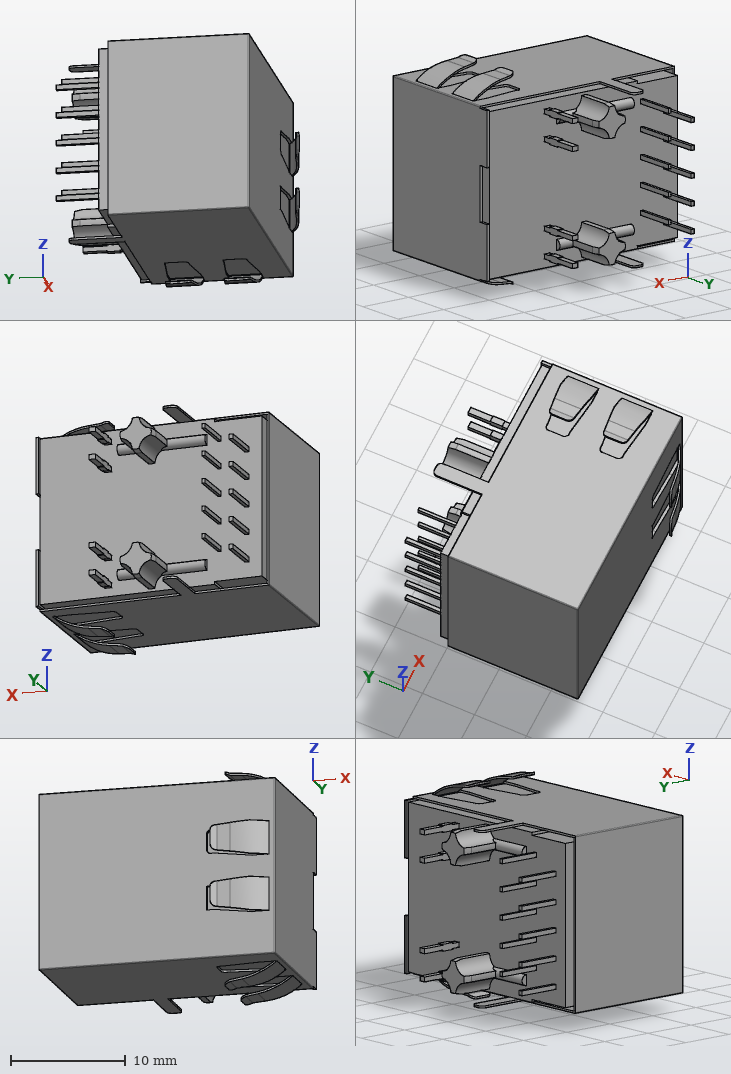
import cadquery as cq

shield_length = 21.35
shield_depth = 12.51
shield_width = 15.85
wall = 0.2
lid_wall = 0.3
front_wall = 0.28
bend_radius = 0.09
pin_tip_y = 17.35

peg_x = 7.55
peg_width = 1.32
peg_tip_y = 17.3
peg_corner_radius = 0.47
lip_tip_y = 13.5
lip_inner_z = 2.56

spring_root_x = 20.8
spring_wide_x = 19.25
spring_tip_x = 15.88
window_start_x = 15.15
spring_kink_x, spring_kink_drop = 16.46, 0.23
spring_arc_x, spring_arc_drop = 17.6, 0.36
spring_root_half = 1.5
spring_tip_half = 1.07
spring_corner_radius = 0.5
window_corner_radius = 0.4
side_spring_rise = 1.7
lid_spring_rise = 1.52
side_spring_ys = (4.1, 9.29)
lid_spring_z = 2.55

housing_start_x = 0.35
housing_end_x = 20.99
housing_step_x = 4.75
housing_bottom_y = lid_wall
housing_top_y = 13.39
housing_half_width = 7.58
rear_half_width = 7.32

post_x = 10.6
post_z = 5.72
post_radius = 1.6
post_web = 0.6
post_taper = 0.15
post_taper_length = 0.73
rib_start_x = 5.47
rib_end_x = 13.65
rib_top_y = 13.88

pin_pitch = 1.25
pins_per_row = 5
pin_width = 0.43
foot_overlap = 0.2
outer_row_x, outer_row_thickness = 1.73, 0.36
inner_row_x, inner_row_thickness = 4.27, 0.28

lead_x = 14.65
lead_thickness = 0.6
lead_width = 0.45
lead_inner_z = 4.04
lead_pitch = 2 * pin_pitch
lead_seat_depth = 1.28
lead_bump_start_y = 14.07
lead_bump_end_y = 15.22
lead_bump_height = 0.09


def block(x0, x1, y0, y1, z0, z1):
    """Box between opposite corners."""
    return cq.Workplane("XY").box(x1 - x0, y1 - y0, z1 - z0, centered=False).translate((x0, y0, z0))


def upright(x, z, thickness, width, y0, y1):
    """Rectangular bar along Y, centred on (x, z)."""
    return block(x - thickness / 2, x + thickness / 2, y0, y1, z - width / 2, z + width / 2)


def tongue_prism(start_x, corner_radius, bottom, top):
    """Tapered tongue outline, extruded outwards (+Z) between two heights."""
    upper_side = [
        (spring_tip_x, spring_tip_half),
        (spring_wide_x, spring_root_half),
        (spring_root_x, spring_root_half),
    ]
    if start_x < spring_tip_x:
        upper_side.insert(0, (start_x, spring_tip_half))
    lower_side = [(x, -y) for x, y in upper_side]
    outline = lower_side + upper_side[::-1]
    prism = cq.Workplane("XY").workplane(offset=bottom).polyline(outline).close().extrude(top - bottom)
    if corner_radius > 0:
        prism = prism.edges("|Z and <X").fillet(corner_radius)
    return prism


def spring(rise):
    """Contact spring on a wall whose outer face is Z = 0; `rise` is the height of its tip."""
    tip = (spring_tip_x, rise)
    kink = (spring_kink_x, rise - spring_kink_drop)
    arc_start = (spring_arc_x, rise - spring_arc_drop)
    root = (spring_root_x, 0)

    def below_edge(drop):
        """Region below the outer edge of the spring when that edge is lowered by `drop`."""
        return (
            cq.Workplane("XZ")
            .moveTo(tip[0], -2 * wall)
            .lineTo(*tip)
            .lineTo(*kink)
            .lineTo(*arc_start)
            .tangentArcPoint(root, relative=False)
            .lineTo(root[0], -2 * wall)
            .close()
            .extrude(spring_root_half, both=True)
            .translate((0, 0, -drop))
        )

    strip = below_edge(0).cut(below_edge(wall))
    return strip.intersect(tongue_prism(spring_tip_x, spring_corner_radius, -2 * wall, rise + wall))


def window(corner_radius):
    """Opening around a spring, deep enough for the thickest wall."""
    return tongue_prism(window_start_x, corner_radius, -lid_wall, wall)


def on_side_wall(shape, y, side):
    """Move a shape from the Z = 0 wall to the side wall at +Z (side 1) or -Z (side -1)."""
    moved = shape.translate((0, y, shield_width / 2))
    return moved if side > 0 else moved.mirror("XY")


def on_lid(shape, z):
    """Move a shape from the Z = 0 wall to the lid, which faces -Y."""
    return shape.rotate((0, 0, 0), (1, 0, 0), 90).translate((0, 0, z))


def shield_peg(side):
    """Board peg that continues a side wall."""
    peg = block(
        peg_x - peg_width / 2, peg_x + peg_width / 2,
        shield_depth - wall, peg_tip_y,
        shield_width / 2 - wall, shield_width / 2,
    )
    peg = peg.edges("|Z and >Y").fillet(peg_corner_radius)
    return peg if side > 0 else peg.mirror("XY")


def front_lip(side):
    """Low strip that continues the front plate towards the board."""
    lip = block(
        shield_length - front_wall, shield_length,
        shield_depth - wall, lip_tip_y,
        lip_inner_z, shield_width / 2 - wall,
    )
    return lip if side > 0 else lip.mirror("XY")


def build_shield():
    """Sheet box open towards the board, with springs, pegs and lips."""
    half = shield_width / 2
    shell = block(0, shield_length, 0, shield_depth, -half, half)
    shell = shell.faces("<X or >X or <Y").edges("not >Y").fillet(bend_radius)
    shell = shell.cut(
        block(wall, shield_length - front_wall, lid_wall, shield_depth, wall - half, half - wall)
    )
    rounded_window = window(window_corner_radius)
    side_spring = spring(side_spring_rise)
    for side in (1, -1):
        for y in side_spring_ys:
            shell = shell.cut(on_side_wall(rounded_window, y, side))
            shell = shell.union(on_side_wall(side_spring, y, side))
        shell = shell.union(shield_peg(side)).union(front_lip(side))

    for z, corner_radius in ((lid_spring_z, window_corner_radius), (-lid_spring_z, 0)):
        shell = shell.cut(on_lid(window(corner_radius), z))
        shell = shell.union(on_lid(spring(lid_spring_rise), z))
    return shell


def lead_positions():
    """Z of the four leads: an inner and an outer one on each side."""
    return [side * z for side in (1, -1) for z in (lead_inner_z, lead_inner_z + lead_pitch)]


def lead_shank(z):
    """Straight part of a lead, which also shapes its hole in the housing."""
    return upright(lead_x, z, lead_thickness, lead_width, housing_top_y - lead_seat_depth, pin_tip_y)


def indicator_lead(z):
    """Straight lead with a slightly wider stretch above the housing."""
    bump_width = lead_width + 2 * lead_bump_height
    bump = upright(lead_x, z, lead_thickness, bump_width, lead_bump_start_y, lead_bump_end_y)
    return lead_shank(z).union(bump)


def locating_post(z):
    """Round post with a tapered tip and four concave flutes that leave a cross."""
    shoulder_y = pin_tip_y - post_taper_length
    post = (
        cq.Workplane("XY")
        .moveTo(0, housing_top_y - foot_overlap)
        .lineTo(post_radius, housing_top_y - foot_overlap)
        .lineTo(post_radius, shoulder_y)
        .lineTo(post_radius - post_taper, pin_tip_y)
        .lineTo(0, pin_tip_y)
        .close()
        .revolve(360, (0, 0, 0), (0, 1, 0))
    )
    flute_radius = post_radius - post_web / 2
    corners = [(sx * post_radius, sz * post_radius) for sx in (1, -1) for sz in (1, -1)]
    flutes = (
        cq.Workplane("XZ", origin=(0, housing_top_y, 0))
        .pushPoints(corners)
        .circle(flute_radius)
        .extrude(housing_top_y - pin_tip_y)
    )
    return post.cut(flutes).translate((post_x, 0, z))


def post_rib(z):
    """Half-round rib that crosses the foot of a post; its lower half lies inside the housing."""
    radius = rib_top_y - housing_top_y
    return (
        cq.Workplane("YZ", origin=(rib_start_x, housing_top_y, z))
        .circle(radius)
        .extrude(rib_end_x - rib_start_x)
    )


def signal_pins():
    """Two rows of pins, staggered by one pitch."""
    row_offset = pin_pitch / 2
    rows = ((outer_row_x, outer_row_thickness, -row_offset), (inner_row_x, inner_row_thickness, row_offset))
    pins = []
    for x, thickness, shift in rows:
        for index in range(pins_per_row):
            z = shift + 2 * pin_pitch * (index - (pins_per_row - 1) / 2)
            pins.append(upright(x, z, thickness, pin_width, housing_top_y - foot_overlap, pin_tip_y))
    return pins


def build_housing():
    """Stepped block with posts, ribs, signal pins and the holes for the leads."""
    housing = block(
        housing_step_x, housing_end_x,
        housing_bottom_y, housing_top_y,
        -housing_half_width, housing_half_width,
    )
    rear_block = block(
        housing_start_x, housing_step_x,
        housing_bottom_y, housing_top_y,
        -rear_half_width, rear_half_width,
    )
    housing = housing.union(rear_block)
    for z in (post_z, -post_z):
        housing = housing.union(locating_post(z)).union(post_rib(z))
    for pin in signal_pins():
        housing = housing.union(pin)
    for z in lead_positions():
        housing = housing.cut(lead_shank(z))
    return housing


shield = build_shield()
housing = build_housing()
leads = [indicator_lead(z) for z in lead_positions()]

result = cq.Compound.makeCompound([shield.val(), housing.val(), *[lead.val() for lead in leads]])